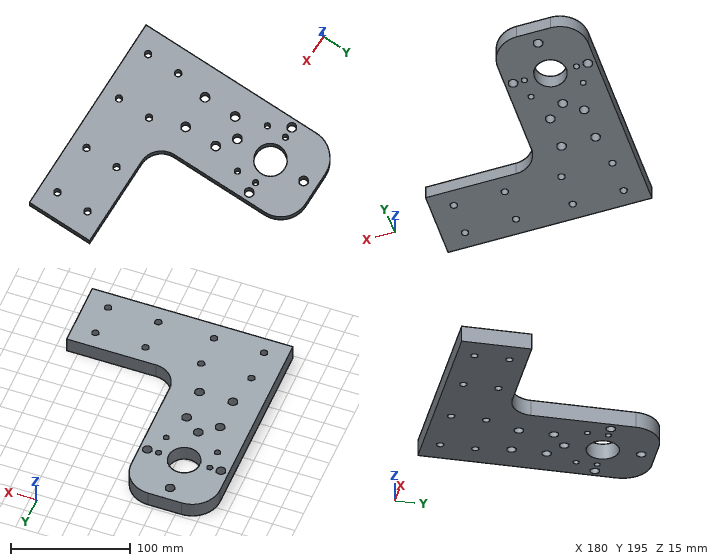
import cadquery as cq

LENGTH_X = 180.0
LENGTH_Y = 195.0
THICKNESS = 15.0
COLUMN_WIDTH = 80.0
FOOT_WIDTH = 60.0
END_RADIUS = 25.0
INNER_RADIUS = 20.0

BORE_DIAMETER = 28.0
BORE_X = COLUMN_WIDTH / 2
BORE_Y = 150.0
BOLT_CIRCLE_RADIUS = 33.0
BOLT_COUNT = 4
BOLT_DIAMETER = 8.0
SMALL_DIAMETER = 5.0
SMALL_OFFSET_X = 23.0
SMALL_DROP = 18.0

SQUARE_DIAMETER = 8.0
SQUARE_PITCH = 30.0
SQUARE_CENTER_Y = 90.0

FOOT_DIAMETER = 6.0
FOOT_EDGE_X = 20.0
FOOT_EDGE_Y = 15.0
FOOT_PAIR_PITCH = 45.0


def grid(xs, ys):
    """Every combination of the given X and Y positions."""
    return [(x, y) for x in xs for y in ys]


def make_plate():
    """L-shaped plate with a rounded column end and a filleted inside corner."""
    outline = [
        (0, 0),
        (LENGTH_X, 0),
        (LENGTH_X, FOOT_WIDTH),
        (COLUMN_WIDTH, FOOT_WIDTH),
        (COLUMN_WIDTH, LENGTH_Y),
        (0, LENGTH_Y),
    ]
    plate = cq.Workplane("XY").polyline(outline).close().extrude(THICKNESS)
    plate = plate.edges("|Z").edges(">Y").fillet(END_RADIUS)
    inner_corner = cq.selectors.NearestToPointSelector((COLUMN_WIDTH, FOOT_WIDTH, THICKNESS / 2))
    return plate.edges("|Z").edges(inner_corner).fillet(INNER_RADIUS)


def drill(plate, points, diameter):
    """Cut through holes of one diameter at the given XY points."""
    holes = cq.Workplane("XY").pushPoints(points).circle(diameter / 2).extrude(THICKNESS)
    return plate.cut(holes)


def drill_bore_group(plate):
    """Bore, its bolt circle and the two rows of small holes beside it."""
    plate = drill(plate, [(BORE_X, BORE_Y)], BORE_DIAMETER)
    bolts = (
        cq.Workplane("XY")
        .center(BORE_X, BORE_Y)
        .polarArray(BOLT_CIRCLE_RADIUS, 0, 360, BOLT_COUNT)
        .circle(BOLT_DIAMETER / 2)
        .extrude(THICKNESS)
    )
    plate = plate.cut(bolts)
    small_xs = (BORE_X - SMALL_OFFSET_X, BORE_X + SMALL_OFFSET_X)
    small_ys = (BORE_Y, BORE_Y - SMALL_DROP)
    return drill(plate, grid(small_xs, small_ys), SMALL_DIAMETER)


def drill_square(plate):
    """Four mounting holes in a square, centred across the column."""
    half = SQUARE_PITCH / 2
    xs = (BORE_X - half, BORE_X + half)
    ys = (SQUARE_CENTER_Y - half, SQUARE_CENTER_Y + half)
    return drill(plate, grid(xs, ys), SQUARE_DIAMETER)


def drill_foot(plate):
    """Two rows of four holes, symmetric about the middle of the foot."""
    first_x = FOOT_EDGE_X
    last_x = LENGTH_X - FOOT_EDGE_X
    xs = (first_x, first_x + FOOT_PAIR_PITCH, last_x - FOOT_PAIR_PITCH, last_x)
    ys = (FOOT_EDGE_Y, FOOT_WIDTH - FOOT_EDGE_Y)
    return drill(plate, grid(xs, ys), FOOT_DIAMETER)


result = make_plate()
result = drill_bore_group(result)
result = drill_square(result)
result = drill_foot(result)